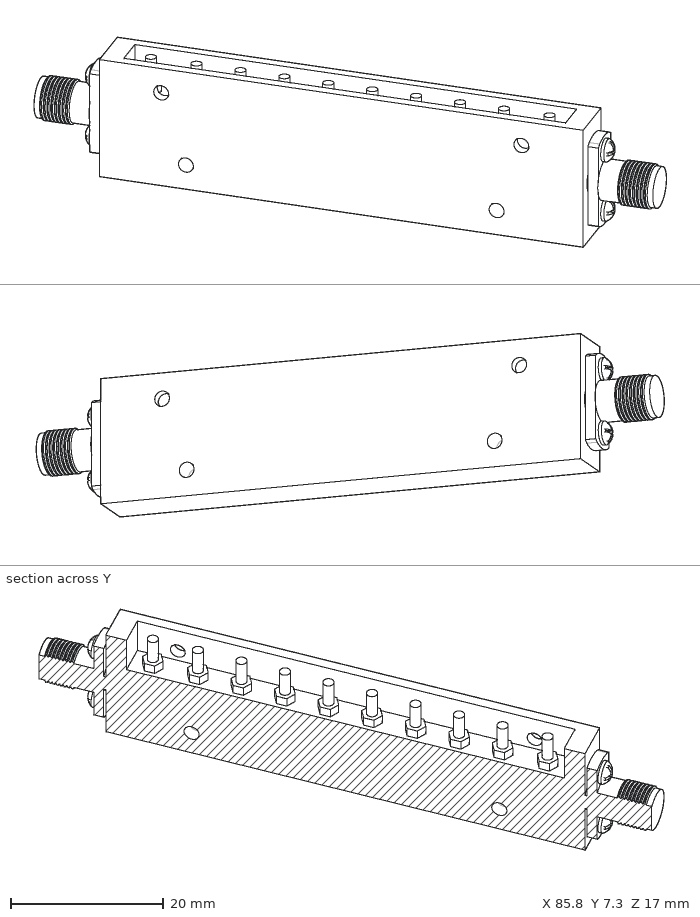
import cadquery as cq
import math

overall_length = 85.8
body_length = 67.1
body_width = 7.3
body_height = 17.0

pocket_length = 61.3
pocket_width = 4.5
pocket_depth = 5.15

pin_diameter = 1.5
pin_recess = 0.35
pin_pitch = 6.1
end_pin_x = 27.6
inner_pin_count = 8
nut_across_flats = 2.5
nut_height = 1.3

hole_diameter = 2.1
hole_z = 5.0
upper_hole_x = 25.0
lower_hole_x = 21.5

collar_diameter = 4.3
collar_length = 0.3
flange_thickness = 1.5
flange_width = 5.1
flange_height = 12.8
flange_side_half_height = 5.7
arch_half_width = 2.0
arch_end_z = 6.0

barrel_diameter = 5.6
thread_diameter = 6.0
thread_count = 8
thread_pitch = 0.5
thread_crest_width = 0.2
nose_length = 0.8

screw_z = 4.3
screw_diameter = 3.2
screw_rim_height = 0.4
screw_height = 1.4
cross_length = 2.4
cross_width = 0.4
cross_depth = 0.8

body_top = body_height / 2
body_end = body_length / 2
flange_back = body_end + collar_length
flange_face = flange_back + flange_thickness
connector_end = overall_length / 2


def make_body():
    """Rectangular block with a long pocket and four through holes."""
    body = cq.Workplane("XY").box(body_length, body_width, body_height)
    body = body.faces(">Z").workplane().rect(pocket_length, pocket_width).cutBlind(-pocket_depth)
    hole_points = [
        (-upper_hole_x, hole_z),
        (upper_hole_x, hole_z),
        (-lower_hole_x, -hole_z),
        (lower_hole_x, -hole_z),
    ]
    holes = (
        cq.Workplane("XZ")
        .pushPoints(hole_points)
        .circle(hole_diameter / 2)
        .extrude(body_width, both=True)
    )
    return body.cut(holes)


def make_pins():
    """Round pins and hex nuts standing on the pocket floor."""
    first_inner_x = -pin_pitch * (inner_pin_count - 1) / 2
    pin_xs = [first_inner_x + i * pin_pitch for i in range(inner_pin_count)]
    pin_points = [(x, 0) for x in [-end_pin_x] + pin_xs + [end_pin_x]]
    floor = cq.Workplane("XY").workplane(offset=body_top - pocket_depth).pushPoints(pin_points)
    pins = floor.circle(pin_diameter / 2).extrude(pocket_depth - pin_recess)
    nut_across_corners = nut_across_flats / math.cos(math.radians(30))
    nuts = floor.polygon(6, nut_across_corners).extrude(nut_height)
    return pins.union(nuts)


def make_flange():
    """Flange and its collar on the +X end of the body."""
    half_width = flange_width / 2
    half_height = flange_height / 2
    collar = (
        cq.Workplane("YZ", origin=(body_end, 0, 0))
        .circle(collar_diameter / 2)
        .extrude(collar_length)
    )
    flange = (
        cq.Workplane("YZ", origin=(flange_back, 0, 0))
        .moveTo(half_width, -flange_side_half_height)
        .lineTo(half_width, flange_side_half_height)
        .lineTo(arch_half_width, arch_end_z)
        .threePointArc((0, half_height), (-arch_half_width, arch_end_z))
        .lineTo(-half_width, flange_side_half_height)
        .lineTo(-half_width, -flange_side_half_height)
        .lineTo(-arch_half_width, -arch_end_z)
        .threePointArc((0, -half_height), (arch_half_width, -arch_end_z))
        .close()
        .extrude(flange_thickness)
    )
    return flange.union(collar)


def make_barrel():
    """Barrel turned about X, its thread made of plain tapered rings."""
    root_radius = barrel_diameter / 2
    crest_radius = thread_diameter / 2
    thread_start = connector_end - nose_length - thread_count * thread_pitch
    ring_flank = (thread_pitch - thread_crest_width) / 2
    profile = cq.Workplane("XY").moveTo(flange_face, 0).lineTo(flange_face, root_radius)
    for i in range(thread_count):
        ring_start = thread_start + i * thread_pitch
        profile = profile.lineTo(ring_start, root_radius)
        profile = profile.lineTo(ring_start + ring_flank, crest_radius)
        profile = profile.lineTo(ring_start + ring_flank + thread_crest_width, crest_radius)
    profile = profile.lineTo(connector_end - nose_length, root_radius)
    profile = profile.lineTo(connector_end, root_radius).lineTo(connector_end, 0).close()
    return profile.revolve(360, (0, 0, 0), (1, 0, 0))


def make_screw(z):
    """Domed screw head with a cross recess, sitting on the flange face."""
    rim_radius = screw_diameter / 2
    rim_x = flange_face + screw_rim_height
    tip_x = flange_face + screw_height
    dome_height = screw_height - screw_rim_height
    dome_radius = (rim_radius**2 + dome_height**2) / (2 * dome_height)
    dome_angle = math.asin(rim_radius / dome_radius) / 2
    dome_middle = (
        tip_x - dome_radius * (1 - math.cos(dome_angle)),
        dome_radius * math.sin(dome_angle),
    )
    head = (
        cq.Workplane("XY")
        .moveTo(flange_face, 0)
        .lineTo(flange_face, rim_radius)
        .lineTo(rim_x, rim_radius)
        .threePointArc(dome_middle, (tip_x, 0))
        .close()
        .revolve(360, (0, 0, 0), (1, 0, 0))
    )
    recess_plane = cq.Workplane("YZ", origin=(tip_x - cross_depth, 0, 0))
    for size in [(cross_length, cross_width), (cross_width, cross_length)]:
        head = head.cut(recess_plane.rect(*size).extrude(cross_depth))
    return head.translate((0, 0, z))


def make_connector():
    """Complete connector on the +X end."""
    connector = make_flange()
    for z in (-screw_z, screw_z):
        connector = connector.union(make_screw(z))
    return connector.union(make_barrel())


connector = make_connector()
result = (
    make_body()
    .union(make_pins())
    .union(connector)
    .union(connector.mirror("YZ"))
)